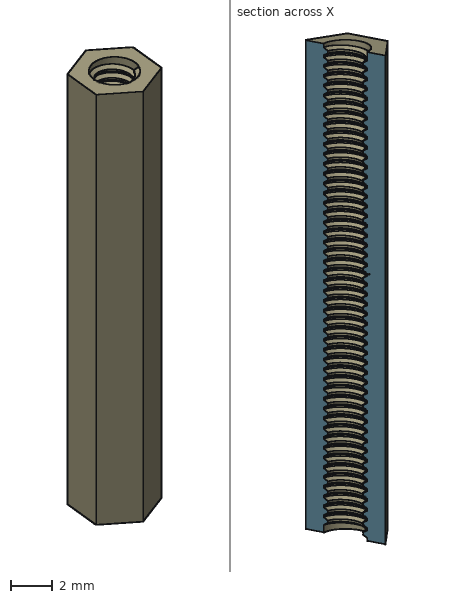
import cadquery as cq
import math

length = 25.0
across_flats = 4.0
thread_major_diameter = 2.5
thread_minor_diameter = 2.0
thread_pitch = 0.5
crest_width = thread_pitch / 4
ridge_overlap = 0.02
flank_slope = math.tan(math.radians(30))


def hexagonal_body():
    """Hexagonal bar standing on Z = 0, with flats facing -X and +X."""
    across_corners = across_flats / math.cos(math.radians(30))
    return (
        cq.Workplane("XY")
        .polygon(6, across_corners)
        .extrude(length)
        .rotate((0, 0, 0), (0, 0, 1), 30)
    )


def bore():
    """Through hole at the root diameter of the thread."""
    return cq.Workplane("XY").circle(thread_major_diameter / 2).extrude(length)


def thread_ridge():
    """60 degree ridge swept along a helix that just reaches both end faces."""
    crest_radius = thread_minor_diameter / 2
    base_radius = thread_major_diameter / 2 + ridge_overlap
    crest_half_width = crest_width / 2
    base_half_width = crest_half_width + (base_radius - crest_radius) * flank_slope
    helix_height = length - 2 * base_half_width
    helix = cq.Wire.makeHelix(thread_pitch, helix_height, base_radius)
    return (
        cq.Workplane("XZ")
        .moveTo(crest_radius, -crest_half_width)
        .lineTo(base_radius, -base_half_width)
        .lineTo(base_radius, base_half_width)
        .lineTo(crest_radius, crest_half_width)
        .close()
        .sweep(cq.Workplane(obj=helix), isFrenet=True)
        .translate((0, 0, base_half_width))
    )


result = hexagonal_body().cut(bore()).union(thread_ridge())